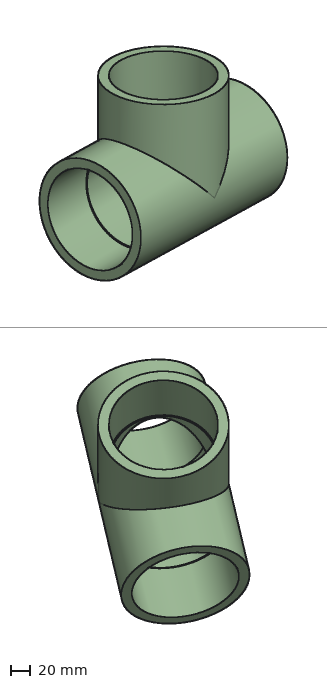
import cadquery as cq

run_length = 234.0
outer_diameter = 132.0
socket_diameter = 110.0
bore_diameter = 107.2
socket_depth = 61.0

arm_length = run_length / 2

arm_directions = [(0, 1, 0), (0, -1, 0), (0, 0, 1)]


def arm_cylinder(diameter, start, end, direction):
    """Cylinder on an arm's axis, between two distances from the centre."""
    origin = tuple(start * component for component in direction)
    plane = cq.Plane(origin=origin, xDir=(1, 0, 0), normal=direction)
    return cq.Workplane(plane).circle(diameter / 2).extrude(end - start)


def tee(diameter):
    """Solid tee of one diameter, reaching all three mouths."""
    run = arm_cylinder(diameter, -arm_length, arm_length, (0, 1, 0))
    branch = arm_cylinder(diameter, 0, arm_length, (0, 0, 1))
    return run.union(branch)


result = tee(outer_diameter).cut(tee(bore_diameter))

for direction in arm_directions:
    socket = arm_cylinder(socket_diameter, arm_length - socket_depth, arm_length, direction)
    result = result.cut(socket)